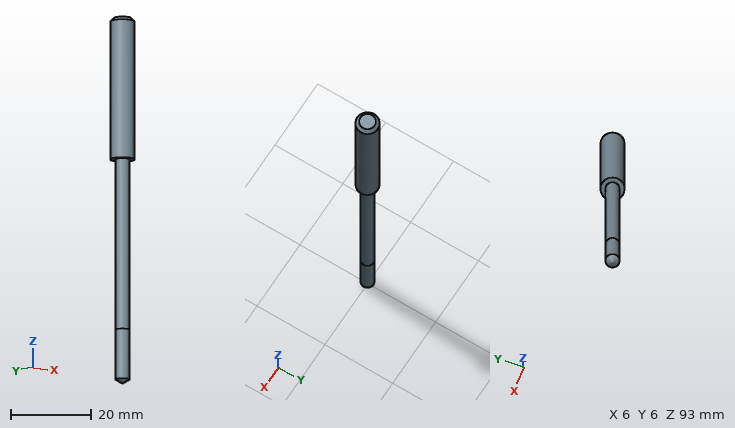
import cadquery as cq
import math

total_length = 93.0
shank_diameter = 6.0
shank_length = 36.0
shank_chamfer = 0.9
drill_diameter = 3.5
cutting_length = 13.7
point_angle = 118.0

shank_radius = shank_diameter / 2
drill_radius = drill_diameter / 2
shank_bottom = total_length - shank_length
point_height = drill_radius / math.tan(math.radians(point_angle / 2))


def make_cutting_part():
    """Cylindrical cutting end with a conical point."""
    half_profile = (
        cq.Workplane("XZ")
        .polyline([
            (0, 0),
            (drill_radius, point_height),
            (drill_radius, cutting_length),
            (0, cutting_length),
        ])
        .close()
    )
    return half_profile.revolve(360, (0, 0), (0, 1))


def make_holder():
    """Slender neck carrying the thicker shank, which is chamfered at its top end."""
    neck = (
        cq.Workplane("XY", origin=(0, 0, cutting_length))
        .circle(drill_radius)
        .extrude(shank_bottom - cutting_length)
    )
    shank = (
        cq.Workplane("XY", origin=(0, 0, shank_bottom))
        .circle(shank_radius)
        .extrude(shank_length)
        .faces(">Z")
        .chamfer(shank_chamfer)
    )
    return neck.union(shank)


cutting_part = make_cutting_part()
holder = make_holder()

result = cq.Compound.makeCompound([cutting_part.val(), holder.val()])